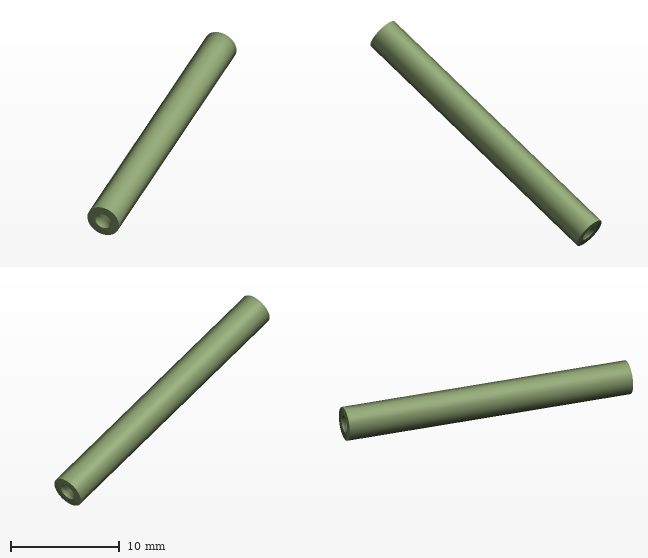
import cadquery as cq

length = 27.5
outer_diameter = 3.15
bore_diameter = 1.6

result = (
    cq.Workplane("XZ", origin=(0, length / 2, 0))
    .circle(outer_diameter / 2)
    .circle(bore_diameter / 2)
    .extrude(length)
)